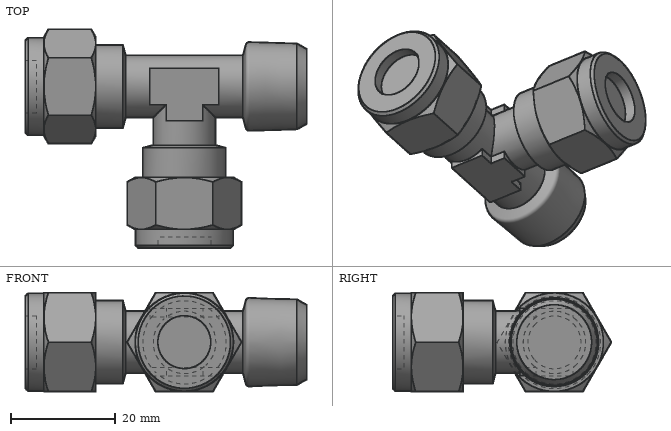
import cadquery as cq
import math


overall_length = 54

nut_arm_length = 30.5
branch_arm_length = 31.0
stud_arm_length = overall_length - nut_arm_length

pipe_radius = 6.0
shoulder_distance = 11.25
shoulder_slope = math.radians(15)

nut_across_flats = 19.0
nut_corner_radius = nut_across_flats / math.sqrt(3)
envelope_margin = 0.55
nut_length = 13.55
nut_chamfer_radius = 9.45
nut_chamfer_slope = math.tan(math.radians(30))
cap_length = 3.55
cap_radius = 9.4
cap_chamfer = 0.55
bore_radius = 5.1
bore_depth = 2.15

collar_radius = 8.0

stud_base_radius = 8.55
stud_tip_radius = 8.25
stud_round = 0.75
stud_end_radius = 7.2
stud_end_chamfer = 1.9

pad_half_width = 3.5
pad_half_length = 6.6
pad_half_height = 6.5


def revolve_about_x(outline):
    """Close an outline drawn in the XY plane and turn it about the X axis."""
    return outline.close().revolve(360, (0, 0, 0), (1, 0, 0))


def cone_rise(inner_radius, outer_radius):
    """Axial length of a shoulder cone between two radii."""
    return (outer_radius - inner_radius) * math.tan(shoulder_slope)


def nut_hexagon(start, end):
    """Hexagon along X with both ends' corners turned off by a cone."""
    hexagon = (
        cq.Workplane("YZ").workplane(offset=start)
        .polygon(6, 2 * nut_corner_radius).extrude(end - start)
    )
    cone_radius = nut_corner_radius + envelope_margin
    cone_length = (cone_radius - nut_chamfer_radius) * nut_chamfer_slope
    envelope = revolve_about_x(
        cq.Workplane("XY").moveTo(start, 0)
        .lineTo(start, nut_chamfer_radius)
        .lineTo(start + cone_length, cone_radius)
        .lineTo(end - cone_length, cone_radius)
        .lineTo(end, nut_chamfer_radius)
        .lineTo(end, 0)
    )
    return hexagon.intersect(envelope)


def nut_arm(length):
    """Arm along +X: pipe, bevelled collar, hexagon nut and bored cap."""
    nut_start = length - nut_length
    hexagon_end = length - cap_length
    collar_start = shoulder_distance + cone_rise(pipe_radius, collar_radius)
    turned = revolve_about_x(
        cq.Workplane("XY").lineTo(0, pipe_radius)
        .lineTo(shoulder_distance, pipe_radius)
        .lineTo(collar_start, collar_radius)
        .lineTo(hexagon_end, collar_radius)
        .lineTo(hexagon_end, cap_radius)
        .lineTo(length - cap_chamfer, cap_radius)
        .lineTo(length, cap_radius - cap_chamfer)
        .lineTo(length, 0)
    )
    bore = (
        cq.Workplane("YZ").workplane(offset=length - bore_depth)
        .circle(bore_radius).extrude(bore_depth)
    )
    return turned.union(nut_hexagon(nut_start, hexagon_end)).cut(bore)


def stud_arm():
    """Arm along +X: pipe and a slightly tapering stud with a chamfered end."""
    length = stud_arm_length
    round_angle = math.pi / 2 - shoulder_slope
    cone_radius = stud_base_radius - stud_round * (1 - math.cos(round_angle))
    cone_end = shoulder_distance + cone_rise(pipe_radius, cone_radius)
    round_end = cone_end + stud_round * math.sin(round_angle)
    round_middle = (
        round_end - stud_round * math.sin(round_angle / 2),
        stud_base_radius - stud_round * (1 - math.cos(round_angle / 2)),
    )
    return revolve_about_x(
        cq.Workplane("XY").lineTo(0, pipe_radius)
        .lineTo(shoulder_distance, pipe_radius)
        .lineTo(cone_end, cone_radius)
        .threePointArc(round_middle, (round_end, stud_base_radius))
        .lineTo(length - stud_end_chamfer, stud_tip_radius)
        .lineTo(length, stud_end_radius)
        .lineTo(length, 0)
    )


def crossing_pad():
    """T-shaped block whose flat faces stand above and below the pipes."""
    height = 2 * pad_half_height
    run_pad = cq.Workplane("XY").box(2 * pad_half_length, 2 * pad_half_width, height)
    branch_pad = (
        cq.Workplane("XY").box(2 * pad_half_width, pad_half_length, height)
        .translate((0, -pad_half_length / 2, 0))
    )
    return run_pad.union(branch_pad)


left_arm = nut_arm(nut_arm_length).rotate((0, 0, 0), (0, 0, 1), 180)
branch_arm = nut_arm(branch_arm_length).rotate((0, 0, 0), (0, 0, 1), -90)
result = left_arm.union(branch_arm).union(stud_arm()).union(crossing_pad())